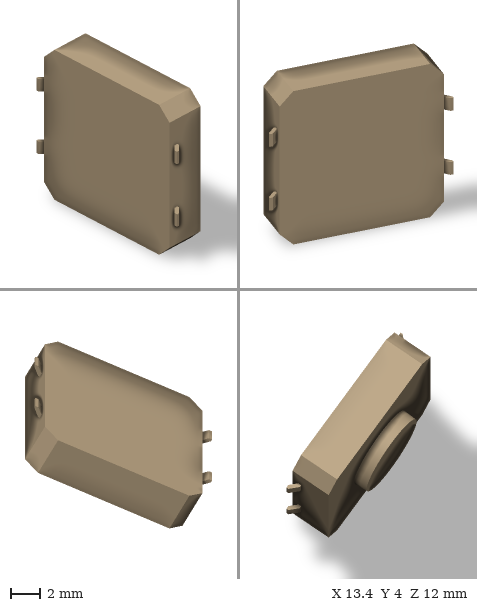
import cadquery as cq

overall_length = 13.45
body_side = 12.0
body_depth = 3.0
corner_chamfer = 1.0

button_base_radius = 3.0
button_top_radius = 2.95
button_height = 1.0

lead_width = 1.0
lead_offset = 2.5
lead_thickness = 0.27
lead_top = 0.73
foot_length = 0.23
foot_edge_height = 0.16
lead_embed = 0.13


def make_body():
    block = cq.Workplane("XY").box(body_side, body_depth, body_side, centered=(True, False, True))
    return block.edges("|Y").chamfer(corner_chamfer)


def make_button():
    """Round button, slightly narrower at its free end."""
    profile = [
        (0, body_depth),
        (button_base_radius, body_depth),
        (button_top_radius, body_depth + button_height),
        (0, body_depth + button_height),
    ]
    return cq.Workplane("XY").polyline(profile).close().revolve(360, (0, 0), (0, 1))


def make_lead(side, z_center):
    """Bent lead sloping at 45 degrees to the seating face; side is -1 or +1 along X."""
    tip = overall_length / 2
    root = body_side / 2 - lead_embed
    underside = lead_top - lead_thickness
    profile = [
        (tip, 0),
        (tip, foot_edge_height),
        (tip - (lead_top - foot_edge_height), lead_top),
        (root, lead_top),
        (root, underside),
        (tip - foot_length - underside, underside),
        (tip - foot_length, 0),
    ]
    outline = [(side * x, y) for x, y in profile]
    lead = cq.Workplane("XY").polyline(outline).close().extrude(lead_width / 2, both=True)
    return lead.translate((0, 0, z_center))


result = make_body().union(make_button())
for side in (-1, 1):
    for z_center in (-lead_offset, lead_offset):
        result = result.union(make_lead(side, z_center))